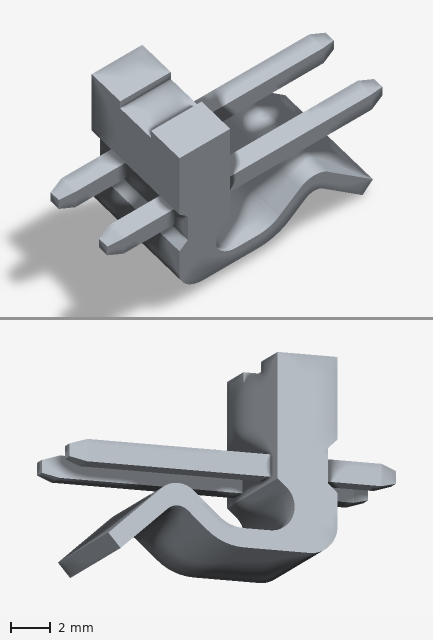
import cadquery as cq
import math


width = 7.15
body_depth = 3.21
body_top = 10.19
top_slot_width = 2.51
top_slot_depth = 0.52

pin_pitch = 3.95
pin_size = 1.15
pin_tip_size = 0.66
pin_tip_length = 0.85
pin_front_y = -3.6
pin_length = 17.45
pin_z = 4.57

groove_depth = 0.52
groove_floor_height = 1.78
groove_mouth_height = 2.75

strip_thickness = 1.0
slope_angle = math.radians(41.5)
valley_y = 5.75
peak_y = 8.55
strip_end_y = 12.27
undercut_top = 3.7

base_radius = 1.5
undercut_radius = 1.31
valley_inner_radius = 1.97
valley_outer_radius = valley_inner_radius + strip_thickness
peak_outer_radius = 1.31
peak_inner_radius = 0.8

slope = math.tan(slope_angle)
peak_z = strip_thickness + (peak_y - valley_y) * slope
strip_end_z = peak_z - (strip_end_y - peak_y) * slope
tip_y = strip_end_y - strip_thickness * math.sin(slope_angle)
tip_z = strip_end_z - strip_thickness * math.cos(slope_angle)
lower_peak_z = peak_z - strip_thickness / math.cos(slope_angle)
lower_valley_y = peak_y - lower_peak_z / slope
undercut_y = body_depth - (undercut_top - strip_thickness) / slope


def round_edge(solid, y, z, radius):
    """Round the edge along X that passes through (y, z)."""
    edge = cq.selectors.NearestToPointSelector((0, y, z))
    return solid.edges("|X").edges(edge).fillet(radius)


def make_body():
    groove_floor_half = groove_floor_height / 2
    groove_mouth_half = groove_mouth_height / 2
    outline = [
        (0, 0),
        (0, pin_z - groove_mouth_half),
        (groove_depth, pin_z - groove_floor_half),
        (groove_depth, pin_z + groove_floor_half),
        (0, pin_z + groove_mouth_half),
        (0, body_top),
        (body_depth, body_top),
        (body_depth, undercut_top),
        (undercut_y, strip_thickness),
        (valley_y, strip_thickness),
        (peak_y, peak_z),
        (strip_end_y, strip_end_z),
        (tip_y, tip_z),
        (peak_y, lower_peak_z),
        (lower_valley_y, 0),
    ]
    body = cq.Workplane("YZ").polyline(outline).close().extrude(width / 2, both=True)

    bends = [
        (undercut_y, strip_thickness, undercut_radius),
        (0, 0, base_radius),
        (valley_y, strip_thickness, valley_inner_radius),
        (lower_valley_y, 0, valley_outer_radius),
        (peak_y, peak_z, peak_outer_radius),
        (peak_y, lower_peak_z, peak_inner_radius),
    ]
    for y, z, radius in bends:
        body = round_edge(body, y, z, radius)

    slot = cq.Workplane("XY").box(
        top_slot_width, body_depth, top_slot_depth, centered=(True, False, False)
    )
    return body.cut(slot.translate((0, 0, body_top - top_slot_depth)))


def make_pin(x):
    """Square pin along Y with a tapered tip at each end."""
    pin_back_y = pin_front_y + pin_length
    shank_length = pin_length - 2 * pin_tip_length
    pin = (
        cq.Workplane("XZ", origin=(x, pin_front_y + pin_tip_length, pin_z))
        .rect(pin_size, pin_size)
        .extrude(-shank_length)
    )
    for end_y, inward in ((pin_front_y, -pin_tip_length), (pin_back_y, pin_tip_length)):
        tip = (
            cq.Workplane("XZ", origin=(x, end_y, pin_z))
            .rect(pin_tip_size, pin_tip_size)
            .workplane(offset=inward)
            .rect(pin_size, pin_size)
            .loft(ruled=True)
        )
        pin = pin.union(tip)
    return pin


result = make_body()
for pin_x in (-pin_pitch / 2, pin_pitch / 2):
    result = result.union(make_pin(pin_x))